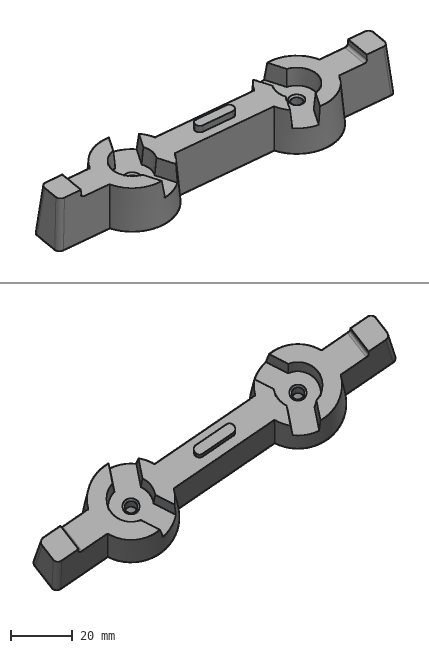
import cadquery as cq
import math

length = 137.5
height = 20.0
bar_width = 13.5
draft = 5.0
corner_radius = 2.0

deck_height = 17.0
pad_inner_y = 58.2
pad_root_radius = 1.1

hub_diameter = 31.5
hub_y = 33.5

seat_floor = 10.0
seat_floor_radius = 7.38
slot_floor_width = 8.7
slot_angle = 25.5
slot_overrun = 4.0
slot_length = hub_diameter / 2 + slot_overrun

hole_diameter = 4.2
hole_mouth_diameter = 5.6
hole_depth = 6.0
drill_tip_angle = 118.0

key_width = 3.7
key_length = 15.7
key_height = 2.7
key_corner_radius = 1.75


def make_bar():
    """Tapered bar with rounded ends."""
    bar = cq.Workplane("XY").rect(bar_width, length).extrude(height, taper=draft)
    slanted_corners = "not(#Z or |X or |Y)"
    return bar.edges(slanted_corners).fillet(corner_radius)


def make_deck_cut():
    """Space above the deck, with the rounded roots of the end pads."""
    cut_height = height - deck_height
    cut = (
        cq.Workplane("XY")
        .workplane(offset=deck_height)
        .box(bar_width, 2 * pad_inner_y, 2 * cut_height, centered=(True, True, False))
    )
    return cut.edges("|X and (not >Z)").fillet(pad_root_radius)


def make_hub(y):
    """Tapered round hub reaching up to the deck."""
    return (
        cq.Workplane("XY")
        .center(0, y)
        .circle(hub_diameter / 2)
        .extrude(deck_height, taper=draft)
    )


def make_seat(side):
    """Seat pocket widening upwards; its slots slope towards the middle of the bar."""
    depth = deck_height - seat_floor
    seat = (
        cq.Workplane("XY")
        .workplane(offset=seat_floor)
        .circle(seat_floor_radius)
        .extrude(depth, taper=-draft)
    )
    slot = (
        cq.Workplane("XY")
        .workplane(offset=seat_floor)
        .center(slot_length / 2, 0)
        .rect(slot_length, slot_floor_width)
        .extrude(depth, taper=-draft)
    )
    for angle in (-side * slot_angle, 180 + side * slot_angle):
        seat = seat.union(slot.rotate((0, 0, 0), (0, 0, 1), angle))
    return seat.translate((0, side * hub_y, 0))


def make_hole(y):
    """Blind drilled hole with a 45 degree chamfered mouth and a conical tip."""
    radius = hole_diameter / 2
    mouth_radius = hole_mouth_diameter / 2
    chamfer = mouth_radius - radius
    tip = radius / math.tan(math.radians(drill_tip_angle / 2))
    return (
        cq.Workplane("XZ")
        .moveTo(0, 0)
        .lineTo(mouth_radius, 0)
        .lineTo(radius, -chamfer)
        .lineTo(radius, -hole_depth)
        .lineTo(0, -hole_depth - tip)
        .close()
        .revolve(360, (0, 0, 0), (0, 1, 0))
        .translate((0, y, seat_floor))
    )


def make_key():
    """Upright key with rounded corners."""
    return (
        cq.Workplane("XY")
        .workplane(offset=deck_height)
        .rect(key_width, key_length)
        .extrude(key_height)
        .edges("|Z")
        .fillet(key_corner_radius)
    )


result = make_bar().cut(make_deck_cut())
for side in (-1, 1):
    result = result.union(make_hub(side * hub_y))
for side in (-1, 1):
    result = result.cut(make_seat(side)).cut(make_hole(side * hub_y))
result = result.union(make_key())